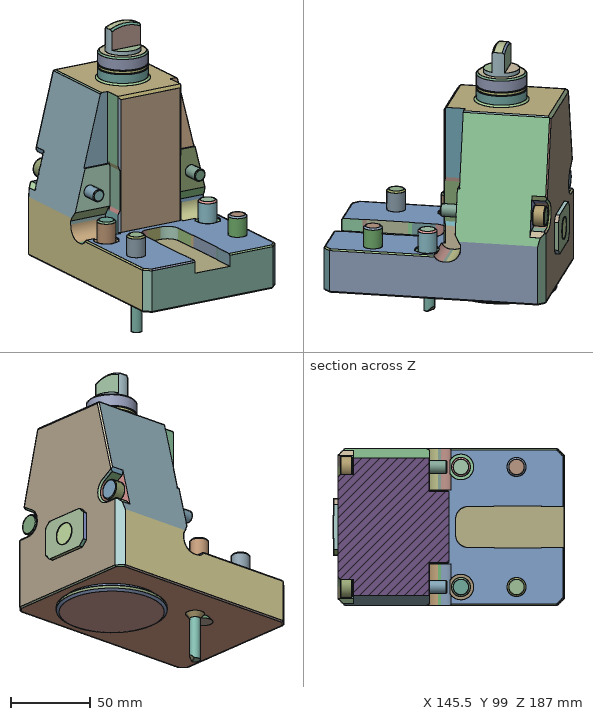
import cadquery as cq
import math


REAR_X = -37.4
PLATE_FRONT_X = 105.1
PLATE_HEIGHT = 28.8
WIDTH = 99.0
HALF_WIDTH = WIDTH / 2
CORNER_CHAMFER = 4.5
EDGE_CHAMFER = 1.0

TOWER_FRONT_X = 32.5
TOWER_TOP_Z = 118.7
SLOPE_START_Z = 38.9
TOP_HALF_WIDTH = 28.6
TOP_CHAMFER = 1.9
SIDE_CHAMFER = 1.0
TOP_SIDE_CHAMFER = 0.7

SCREW_Y = 37.8
SCREW_Z = 55.5
SCREW_SHAFT_D = 8.0
SCREW_HEAD_D = 13.0
SCREW_HEAD_X = -36.0
SCREW_HEAD_LENGTH = 7.9
SCREW_TIP_X = 31.2
SCREW_CHAMFER = 0.5
POCKET_D = 16.0
POCKET_FLOOR_X = -27.7
POCKET_ROOF_ANGLE = 30.0
POCKET_LIP = 1.22
POCKET_LIP_ANGLE = 45.0
POCKET_FLOOR_END_Y = 44.9
POCKET_ROOF_END_Y = 40.8
POCKET_FLOOR_FLARE = 45.0
POCKET_ROOF_FLARE = 78.0

NOTCH_Y = 23.4
NOTCH_X = 18.9
SEAT_X = 20.2
SEAT_TOP_Z = 72.4
SEAT_BOTTOM_Z = 40.4
SEAT_SLOPE = 2.6
SEAT_RELIEF = 0.7
NOTCH_EDGE_CHAMFER = 1.3
TROUGH_REAR_R = 9.2
TROUGH_REAR_X = 25.8
TROUGH_FRONT_R = 7.0
TROUGH_FRONT_X = 27.7
TROUGH_BOTTOM_Z = 25.0

SLOT_END_X = 36.7
SLOT_HALF_WIDTH = 12.9
SLOT_DEPTH = 8.2
SLOT_CORNER_R = 8.0
SLOT_RELIEF = 0.4
SLOT_RELIEF_START_X = 59.8
SLOT_RELIEF_END_X = 91.6
SLOT_RELIEF_RAMP = 2.6

PIN_D = 12.0
PIN_X = (40.0, 75.0)
PIN_TOP_Z = 42.3
PIN_CHAMFER = 1.1
PIN_RECESS_D = 16.0
PIN_RECESS_DEPTH = 1.0

COLLAR_D = 32.0
COLLAR_FOOT_D = 34.8
COLLAR_FOOT_HEIGHT = 1.1
COLLAR_TOP_Z = 136.9
COLLAR_CHAMFER = 1.1
COLLAR_GROOVE_Z = (125.7, 128.0)
COLLAR_GROOVE_WIDTH = 0.5
COLLAR_GROOVE_DEPTH = 0.4
DIAL_D = 22.8
DIAL_TOP_Z = 139.5
WING_THICKNESS = 8.0
WING_TOP_Z = 155.5
WING_TOP_R = 26.2
WING_CHAMFER = 1.3

PAD_X = -40.0
PAD_WIDTH = 35.7
PAD_HEIGHT = 25.8
PAD_Z = 35.9
PAD_CORNER = 3.7
BUTTON_X = -40.4
BUTTON_D = 14.4

NECK_D = 62.0
NECK_HEIGHT = 2.5
FLANGE_D = 70.0
FLANGE_TOP_D = 68.0
FLANGE_BOTTOM_D = 66.2
FLANGE_BEVEL = 1.3
FLANGE_BOTTOM_Z = -6.2

CABLE_X = 50.7
CABLE_Y = -22.0
CABLE_D = 7.0
CABLE_BOTTOM_Z = -31.5
CABLE_BEVEL_DEPTH = 2.2
CABLE_BEVEL_HEIGHT = 2.8
CABLE_BEVEL_TURN = -30.0
GLAND_D = 12.0
GLAND_HEIGHT = 3.4
FOOT_X = 57.8
FOOT_TOP_D = 6.0

OVERLAP = 1.9
SIDES = (-1, 1)


def box(x0, x1, y0, y1, z0, z1):
    """Box between two opposite corners."""
    return cq.Workplane("XY").box(x1 - x0, y1 - y0, z1 - z0, centered=False).translate((x0, y0, z0))


def turned(profile, x=0):
    """Solid of revolution about a vertical axis, from (radius, z) points."""
    return cq.Workplane("XZ").polyline(profile).close().revolve(360, (0, 0), (0, 1)).translate((x, 0, 0))


def rod(diameter, x0, x1, y, z):
    """Cylinder along X."""
    return cq.Workplane("YZ", origin=(x0, y, z)).circle(diameter / 2).extrude(x1 - x0)


def make_plate():
    plate = box(REAR_X, PLATE_FRONT_X, -HALF_WIDTH, HALF_WIDTH, 0, PLATE_HEIGHT)
    plate = plate.edges("|Z").chamfer(CORNER_CHAMFER)
    return plate.faces("<Z or >Z").chamfer(EDGE_CHAMFER)


def make_tower():
    slope = (HALF_WIDTH - TOP_HALF_WIDTH) / (TOWER_TOP_Z - SLOPE_START_Z)
    bevel_z = TOWER_TOP_Z - TOP_SIDE_CHAMFER
    bevel_y = TOP_HALF_WIDTH + slope * TOP_SIDE_CHAMFER
    section = [
        (HALF_WIDTH, EDGE_CHAMFER),
        (HALF_WIDTH, SLOPE_START_Z),
        (bevel_y, bevel_z),
        (TOP_HALF_WIDTH - TOP_SIDE_CHAMFER, TOWER_TOP_Z),
        (TOP_SIDE_CHAMFER - TOP_HALF_WIDTH, TOWER_TOP_Z),
        (-bevel_y, bevel_z),
        (-HALF_WIDTH, SLOPE_START_Z),
        (-HALF_WIDTH, EDGE_CHAMFER),
    ]
    tower = cq.Workplane("YZ", origin=(REAR_X, 0, 0)).polyline(section).close()
    tower = tower.extrude(TOWER_FRONT_X - REAR_X)
    slanted_edges = tower.faces("<X").edges("not(|Y or |Z)")
    tower = slanted_edges.chamfer(SIDE_CHAMFER)

    plan = box(REAR_X, PLATE_FRONT_X, -HALF_WIDTH, HALF_WIDTH, 0, TOWER_TOP_Z)
    plan = plan.edges("|Z and <X").chamfer(CORNER_CHAMFER)
    side = box(REAR_X, TOWER_FRONT_X, -HALF_WIDTH, HALF_WIDTH, 0, TOWER_TOP_Z)
    side = side.edges("|Y and >Z").chamfer(TOP_CHAMFER)
    return tower.intersect(plan).intersect(side)


def pocket_profile(plane, radius):
    """Round pocket opening outward (+Y), with a level floor and rising roof that flare at the mouth."""
    angle = math.radians(POCKET_ROOF_ANGLE)
    roof_y = -radius * math.sin(angle)
    roof_z = radius * math.cos(angle)
    roof_end_y = POCKET_ROOF_END_Y - SCREW_Y
    roof_end_z = roof_z + (roof_end_y - roof_y) * math.tan(angle)
    floor_end_y = POCKET_FLOOR_END_Y - SCREW_Y
    reach = HALF_WIDTH - SCREW_Y + OVERLAP
    floor_drop = (reach - floor_end_y) * math.tan(math.radians(POCKET_FLOOR_FLARE))
    roof_rise = (reach - roof_end_y) * math.tan(math.radians(POCKET_ROOF_FLARE))
    return (
        plane.moveTo(0, -radius)
        .threePointArc((-radius, 0), (roof_y, roof_z))
        .lineTo(roof_end_y, roof_end_z)
        .lineTo(reach, roof_end_z + roof_rise)
        .lineTo(reach, -radius - floor_drop)
        .lineTo(floor_end_y, -radius)
        .close()
    )


def make_screw_pocket():
    radius = POCKET_D / 2
    plane = cq.Workplane("YZ", origin=(REAR_X, SCREW_Y, SCREW_Z))
    pocket = pocket_profile(plane, radius).extrude(POCKET_FLOOR_X - REAR_X)
    lip = pocket_profile(plane, radius + POCKET_LIP).extrude(POCKET_LIP, taper=POCKET_LIP_ANGLE)
    return pocket.union(lip)


def make_notch():
    """Front corner cutter: upright notch, stepped screw seat and rounded trough."""
    far_y = HALF_WIDTH + OVERLAP
    far_x = TOWER_FRONT_X + OVERLAP
    trough_top_z = TROUGH_BOTTOM_Z + TROUGH_REAR_R
    upper = box(NOTCH_X, far_x, NOTCH_Y, far_y, SEAT_TOP_Z - SEAT_SLOPE / 2, TOWER_TOP_Z + OVERLAP)
    lower = box(SEAT_X, far_x, NOTCH_Y, far_y, trough_top_z, SEAT_TOP_Z)
    seat = (
        cq.Workplane("YZ", origin=(SEAT_X, 0, 0))
        .moveTo(NOTCH_Y, SEAT_BOTTOM_Z)
        .lineTo(NOTCH_Y - SEAT_RELIEF, SEAT_BOTTOM_Z + SEAT_SLOPE)
        .lineTo(NOTCH_Y - SEAT_RELIEF, SEAT_TOP_Z - SEAT_SLOPE)
        .lineTo(NOTCH_Y, SEAT_TOP_Z)
        .close()
        .extrude(far_x - SEAT_X)
    )
    diagonal = math.sqrt(0.5)
    rear_mid = (TROUGH_REAR_X - TROUGH_REAR_R * diagonal, trough_top_z - TROUGH_REAR_R * diagonal)
    front_top_z = TROUGH_BOTTOM_Z + TROUGH_FRONT_R
    front_mid = (TROUGH_FRONT_X + TROUGH_FRONT_R * diagonal, front_top_z - TROUGH_FRONT_R * diagonal)
    trough = (
        cq.Workplane("XZ", origin=(0, far_y, 0))
        .moveTo(SEAT_X, SEAT_BOTTOM_Z + SEAT_SLOPE)
        .lineTo(TROUGH_REAR_X - TROUGH_REAR_R, trough_top_z + SEAT_SLOPE)
        .lineTo(TROUGH_REAR_X - TROUGH_REAR_R, trough_top_z)
        .threePointArc(rear_mid, (TROUGH_REAR_X, TROUGH_BOTTOM_Z))
        .lineTo(TROUGH_FRONT_X, TROUGH_BOTTOM_Z)
        .threePointArc(front_mid, (TROUGH_FRONT_X + TROUGH_FRONT_R, front_top_z))
        .lineTo(TROUGH_FRONT_X + TROUGH_FRONT_R, SEAT_BOTTOM_Z + SEAT_SLOPE)
        .close()
        .extrude(far_y - NOTCH_Y)
    )
    edge_bevel = (
        cq.Workplane("XY", origin=(0, 0, PLATE_HEIGHT))
        .moveTo(TOWER_FRONT_X - NOTCH_EDGE_CHAMFER, NOTCH_Y)
        .lineTo(TOWER_FRONT_X, NOTCH_Y - NOTCH_EDGE_CHAMFER)
        .lineTo(TOWER_FRONT_X, NOTCH_Y)
        .close()
        .extrude(TOWER_TOP_Z - PLATE_HEIGHT)
    )
    return upper.union(lower).union(seat).union(trough).union(edge_bevel)


def make_screw():
    shaft = rod(SCREW_SHAFT_D, SCREW_HEAD_X + OVERLAP, SCREW_TIP_X, SCREW_Y, SCREW_Z)
    shaft = shaft.faces(">X").chamfer(SCREW_CHAMFER)
    head = rod(SCREW_HEAD_D, SCREW_HEAD_X, SCREW_HEAD_X + SCREW_HEAD_LENGTH, SCREW_Y, SCREW_Z)
    head = head.faces("<X or >X").chamfer(SCREW_CHAMFER)
    return shaft.union(head)


def make_slot():
    floor_z = PLATE_HEIGHT - SLOT_DEPTH
    far_x = PLATE_FRONT_X + OVERLAP
    slot = box(SLOT_END_X, far_x, -SLOT_HALF_WIDTH, SLOT_HALF_WIDTH, floor_z, PLATE_HEIGHT)
    slot = slot.edges("|Z and <X").fillet(SLOT_CORNER_R)
    relief_half_width = SLOT_HALF_WIDTH + SLOT_RELIEF
    ramp_ends = (SLOT_RELIEF_START_X + SLOT_RELIEF_RAMP, SLOT_RELIEF_END_X - SLOT_RELIEF_RAMP)
    relief = (
        cq.Workplane("XY", origin=(0, 0, floor_z))
        .moveTo(SLOT_RELIEF_START_X, -SLOT_HALF_WIDTH)
        .lineTo(ramp_ends[0], -relief_half_width)
        .lineTo(ramp_ends[1], -relief_half_width)
        .lineTo(SLOT_RELIEF_END_X, -SLOT_HALF_WIDTH)
        .lineTo(SLOT_RELIEF_END_X, SLOT_HALF_WIDTH)
        .lineTo(ramp_ends[1], relief_half_width)
        .lineTo(ramp_ends[0], relief_half_width)
        .lineTo(SLOT_RELIEF_START_X, SLOT_HALF_WIDTH)
        .close()
        .extrude(SLOT_DEPTH)
    )
    return slot.union(relief)


def make_knob():
    radius = COLLAR_D / 2
    collar = turned([
        (0, TOWER_TOP_Z - OVERLAP),
        (COLLAR_FOOT_D / 2, TOWER_TOP_Z - OVERLAP),
        (COLLAR_FOOT_D / 2, TOWER_TOP_Z),
        (radius, TOWER_TOP_Z + COLLAR_FOOT_HEIGHT),
        (radius, COLLAR_TOP_Z - COLLAR_CHAMFER),
        (radius - COLLAR_CHAMFER, COLLAR_TOP_Z),
        (0, COLLAR_TOP_Z),
    ])
    for z in COLLAR_GROOVE_Z:
        ring = cq.Workplane("XY", origin=(0, 0, z)).circle(radius + OVERLAP)
        ring = ring.circle(radius - COLLAR_GROOVE_DEPTH).extrude(COLLAR_GROOVE_WIDTH)
        collar = collar.cut(ring)

    dial_base_z = COLLAR_TOP_Z - OVERLAP
    dial = cq.Workplane("XY", origin=(0, 0, dial_base_z)).circle(DIAL_D / 2)
    dial = dial.extrude(DIAL_TOP_Z - dial_base_z)

    half_wing = WING_THICKNESS / 2
    wing = rod(2 * WING_TOP_R, -half_wing, half_wing, 0, WING_TOP_Z - WING_TOP_R)
    wing = wing.faces("<X or >X").chamfer(WING_CHAMFER)
    wing_base = cq.Workplane("XY", origin=(0, 0, DIAL_TOP_Z - OVERLAP)).circle(DIAL_D / 2)
    wing_envelope = wing_base.extrude(WING_TOP_Z - DIAL_TOP_Z + OVERLAP)
    return collar.union(dial).union(wing.intersect(wing_envelope))


def make_pad():
    half_width = PAD_WIDTH / 2
    half_height = PAD_HEIGHT / 2
    pad = box(PAD_X, REAR_X + OVERLAP, -half_width, half_width, PAD_Z - half_height, PAD_Z + half_height)
    pad = pad.edges("|X").chamfer(PAD_CORNER)
    return pad.union(rod(BUTTON_D, BUTTON_X, REAR_X, 0, PAD_Z))


def make_flange():
    return turned([
        (0, OVERLAP),
        (NECK_D / 2, OVERLAP),
        (NECK_D / 2, -NECK_HEIGHT),
        (FLANGE_TOP_D / 2, -NECK_HEIGHT),
        (FLANGE_D / 2, -NECK_HEIGHT - FLANGE_BEVEL / 2),
        (FLANGE_D / 2, FLANGE_BOTTOM_Z + FLANGE_BEVEL),
        (FLANGE_BOTTOM_D / 2, FLANGE_BOTTOM_Z),
        (0, FLANGE_BOTTOM_Z),
    ])


def make_cable():
    radius = CABLE_D / 2
    cable = turned([
        (0, OVERLAP),
        (GLAND_D / 2, OVERLAP),
        (GLAND_D / 2, 0),
        (radius, -GLAND_HEIGHT),
        (radius, CABLE_BOTTOM_Z),
        (0, CABLE_BOTTOM_Z),
    ])
    bevel = (
        cq.Workplane("XZ")
        .moveTo(-radius, CABLE_BOTTOM_Z + CABLE_BEVEL_HEIGHT)
        .lineTo(CABLE_BEVEL_DEPTH - radius, CABLE_BOTTOM_Z)
        .lineTo(-radius, CABLE_BOTTOM_Z)
        .close()
        .extrude(radius, both=True)
        .rotate((0, 0, 0), (0, 0, 1), CABLE_BEVEL_TURN)
    )
    foot = turned([
        (0, OVERLAP),
        (FOOT_TOP_D / 2, OVERLAP),
        (FOOT_TOP_D / 2, 0),
        (GLAND_D / 2, -GLAND_HEIGHT),
        (0, -GLAND_HEIGHT),
    ], x=FOOT_X - CABLE_X)
    return cable.cut(bevel).union(foot).translate((CABLE_X, CABLE_Y, 0))


def make_pin(x, y):
    base_z = PLATE_HEIGHT - PIN_RECESS_DEPTH - OVERLAP
    pin = cq.Workplane("XY", origin=(x, y, base_z)).circle(PIN_D / 2).extrude(PIN_TOP_Z - base_z)
    return pin.faces(">Z").chamfer(PIN_CHAMFER)


def mirrored(solid, side):
    """The solid itself on the +Y side, its mirror image on the -Y side."""
    return solid if side > 0 else solid.mirror("XZ")


body = make_plate().union(make_tower())
body = body.cut(make_slot())

for side in SIDES:
    body = body.cut(mirrored(make_screw_pocket(), side))
    body = body.cut(mirrored(make_notch(), side))
    recess = cq.Workplane("XY", origin=(PIN_X[0], side * SCREW_Y, PLATE_HEIGHT))
    recess = recess.circle(PIN_RECESS_D / 2).extrude(-PIN_RECESS_DEPTH)
    body = body.cut(recess)

for side in SIDES:
    body = body.union(mirrored(make_screw(), side))
    for pin_x in PIN_X:
        body = body.union(make_pin(pin_x, side * SCREW_Y))

result = body.union(make_knob()).union(make_pad()).union(make_flange()).union(make_cable())